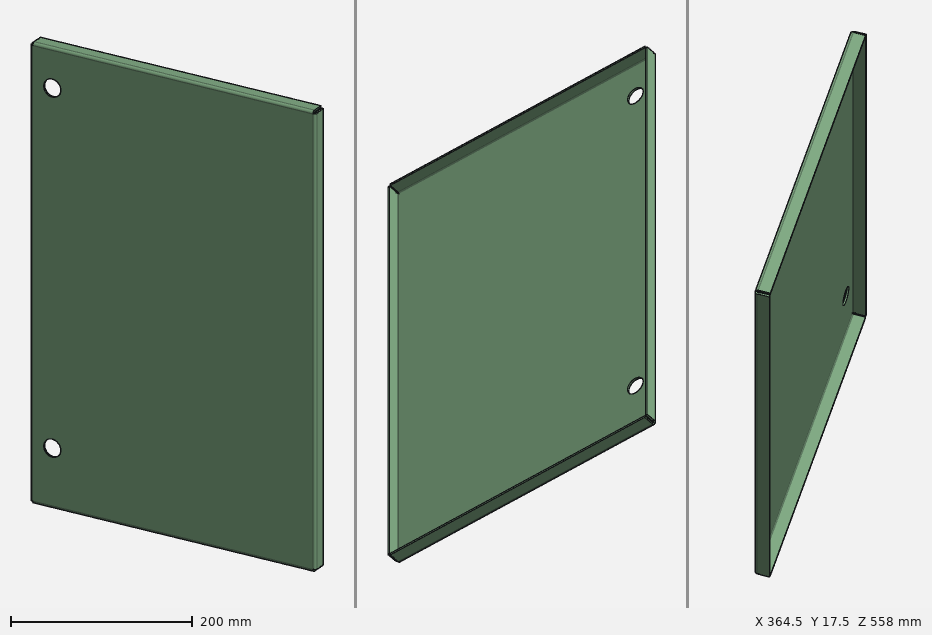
import cadquery as cq

WIDTH = 364.5
HEIGHT = 558.0
DEPTH = 17.5

THICKNESS = 2.5
BEND_RADIUS = 3.5
INNER_RADIUS = BEND_RADIUS - THICKNESS

FLANGE_STEP = 0.5
FLANGE_STEP_DEPTH = 5.0

HOLE_DIAMETER = 22.0
HOLE_FROM_LEFT = 28.5
UPPER_HOLE_FROM_TOP = 49.0
LOWER_HOLE_FROM_BOTTOM = 73.0

FACE_WIDTH = WIDTH - 2 * BEND_RADIUS
FACE_HEIGHT = HEIGHT - 2 * BEND_RADIUS


def folded_channel(span, length):
    """Channel spanning X and running along Z, open towards +Y, with rounded bends."""

    def solid_block(inset, radius):
        return (
            cq.Workplane("XY")
            .box(span - 2 * inset, DEPTH, length, centered=(True, False, True))
            .translate((0, inset, 0))
            .edges("|Z and <Y")
            .fillet(radius)
        )

    return solid_block(0, BEND_RADIUS).cut(solid_block(THICKNESS, INNER_RADIUS))


def end_step(end):
    """Strip across one end of the lengthened side channel, cleared from the face and bends."""
    return (
        cq.Workplane("XY")
        .box(WIDTH, FLANGE_STEP_DEPTH, FLANGE_STEP, centered=(True, False, True))
        .translate((0, 0, end * (FACE_HEIGHT + FLANGE_STEP) / 2))
    )


side_channel = folded_channel(WIDTH, FACE_HEIGHT + 2 * FLANGE_STEP)
for end in (-1, 1):
    side_channel = side_channel.cut(end_step(end))
end_channel = folded_channel(HEIGHT, FACE_WIDTH).rotate((0, 0, 0), (0, 1, 0), 90)

panel = side_channel.union(end_channel)

hole_x = HOLE_FROM_LEFT - WIDTH / 2
upper_hole_z = HEIGHT / 2 - UPPER_HOLE_FROM_TOP
lower_hole_z = LOWER_HOLE_FROM_BOTTOM - HEIGHT / 2
holes = (
    cq.Workplane("XZ")
    .pushPoints([(hole_x, upper_hole_z), (hole_x, lower_hole_z)])
    .circle(HOLE_DIAMETER / 2)
    .extrude(-DEPTH)
)

result = panel.cut(holes)